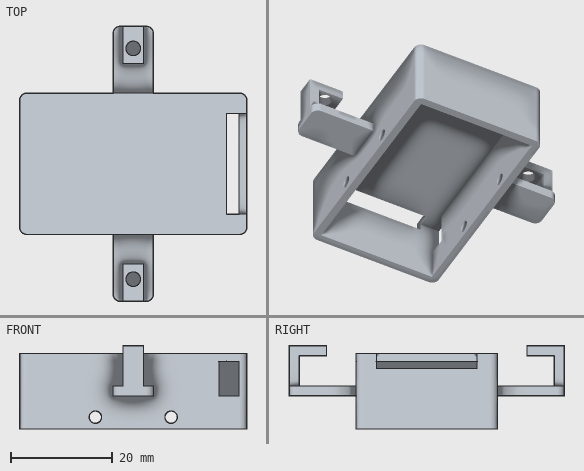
import cadquery as cq

length = 45.0
width = 28.0
height = 15.0
wall = 1.6
end_wall = 1.6
roof = 1.6
corner_radius = 1.45

span = 54.5
overall_height = 16.5
arm_width = 8.0
arm_bottom = 6.55
bar_thickness = 2.0
arm_corner_radius = 1.45
post_width = 4.1
hook_length = 7.4
hook_hole_diameter = 2.9
hook_hole_inset = 4.4

cross_hole_diameter = 2.4
cross_hole_spacing = 15.0
cross_hole_height = 2.35

slot_depth_x = 4.05
slot_width = 19.9
notch_depth = 3.0

window_width = 4.0
window_bottom = arm_bottom
window_top = height - roof


def block(x_range, y_range, z_range):
    """Box between the given lower and upper limits on each axis."""
    sizes = [high - low for low, high in (x_range, y_range, z_range)]
    corner = (x_range[0], y_range[0], z_range[0])
    return cq.Workplane("XY").box(*sizes, centered=False).translate(corner)


def make_shell():
    outside = cq.Workplane("XY").box(length, width, height, centered=(True, True, False))
    outside = outside.edges("|Z").fillet(corner_radius)
    cavity = cq.Workplane("XY").box(
        length - 2 * end_wall, width - 2 * wall, height - roof, centered=(True, True, False)
    )
    return outside.cut(cavity)


def make_arm():
    """Arm on the -Y side: flat bar, upright post and a hook reaching back to the box."""
    tip = -span / 2
    root = -width / 2 + wall / 2
    post_x = (-post_width / 2, post_width / 2)
    bar = block(
        (-arm_width / 2, arm_width / 2), (tip, root), (arm_bottom, arm_bottom + bar_thickness)
    )
    bar = bar.edges("|Z and <Y").fillet(arm_corner_radius)
    post = block(post_x, (tip, tip + bar_thickness), (arm_bottom, overall_height))
    hook_bottom = overall_height - bar_thickness
    hook = block(post_x, (tip, tip + hook_length), (hook_bottom, overall_height))
    hole = (
        cq.Workplane("XY", origin=(0, tip + hook_hole_inset, hook_bottom))
        .circle(hook_hole_diameter / 2)
        .extrude(bar_thickness)
    )
    return bar.union(post).union(hook.cut(hole))


def make_cross_holes():
    return (
        cq.Workplane("XZ")
        .pushPoints([(side * cross_hole_spacing / 2, cross_hole_height) for side in (-1, 1)])
        .circle(cross_hole_diameter / 2)
        .extrude(width / 2, both=True)
    )


def make_slot():
    """Cutter for the roof slot, cut down to the notch floor in the end wall."""
    return block(
        (length / 2 - slot_depth_x, length / 2),
        (-slot_width / 2, slot_width / 2),
        (height - notch_depth, height),
    )


def make_window():
    inner_end = length / 2 - end_wall
    return block(
        (inner_end - window_width, inner_end),
        (-width / 2, -width / 2 + wall),
        (window_bottom, window_top),
    )


shell = make_shell().cut(make_cross_holes()).cut(make_slot()).cut(make_window())
arm = make_arm()
result = shell.union(arm).union(arm.mirror("XZ"))